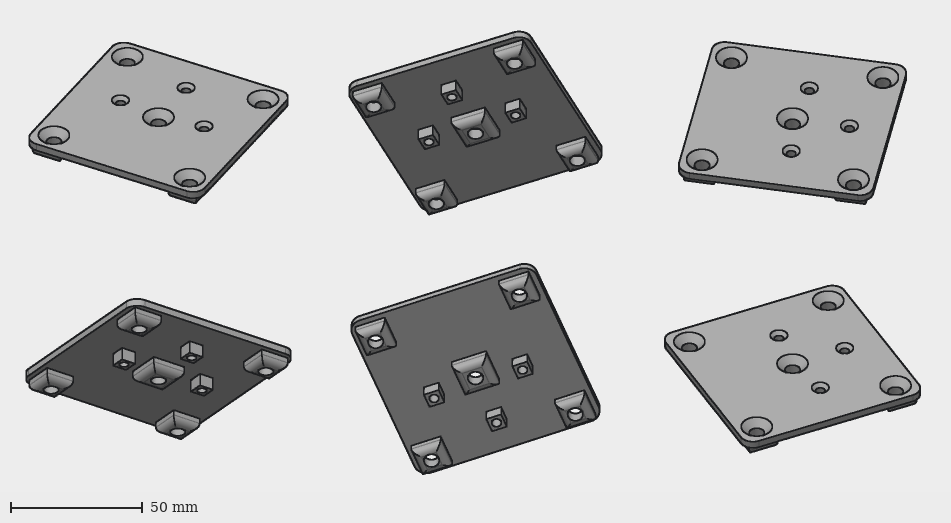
import cadquery as cq

plate_size = 75.0
plate_thickness = 3.0
plate_corner_radius = 5.0

total_height = 8.0
foot_height = total_height - plate_thickness
foot_edge_radius = 3.0
corner_foot_size = 12.0
centre_foot_size = 14.0
post_size = 6.0

large_hole_diameter = 5.8
large_sink_diameter = 11.8
large_spacing = 58.5
corner_points = [
    (x * large_spacing / 2, y * large_spacing / 2) for x in (-1, 1) for y in (-1, 1)
]
centre_point = (0.0, 0.0)

small_hole_diameter = 3.6
small_sink_diameter = 6.6
post_side_offset = 18.0
post_side_y = 3.0
post_back_y = 22.0
post_points = [
    (-post_side_offset, post_side_y),
    (post_side_offset, post_side_y),
    (0.0, post_back_y),
]

sink_angle = 90.0


def square_post(point, size):
    """Square block hanging from the underside of the plate."""
    return (
        cq.Workplane("XY", origin=(point[0], point[1], -plate_thickness))
        .rect(size, size)
        .extrude(-foot_height)
    )


def rounded_foot(point, size):
    """Square block with its four bottom edges rounded."""
    return square_post(point, size).faces("<Z").edges().fillet(foot_edge_radius)


def drill(body, points, hole_diameter, sink_diameter):
    """Countersunk holes through the full height, sunk from the top face."""
    return (
        body.faces(">Z")
        .workplane(origin=(0, 0, 0))
        .pushPoints(points)
        .cskHole(hole_diameter, sink_diameter, sink_angle)
    )


plate = (
    cq.Workplane("XY")
    .rect(plate_size, plate_size)
    .extrude(-plate_thickness)
    .edges("|Z")
    .fillet(plate_corner_radius)
)

body = plate.union(rounded_foot(centre_point, centre_foot_size))
for point in corner_points:
    body = body.union(rounded_foot(point, corner_foot_size))
for point in post_points:
    body = body.union(square_post(point, post_size))

body = drill(body, corner_points + [centre_point], large_hole_diameter, large_sink_diameter)
result = drill(body, post_points, small_hole_diameter, small_sink_diameter)